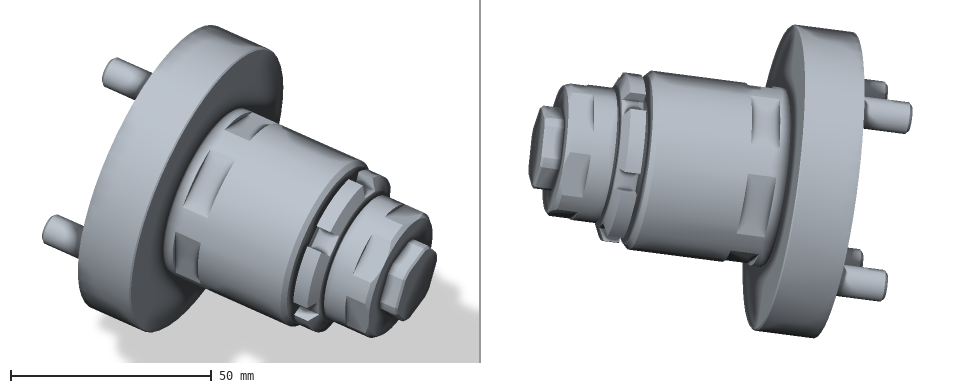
import cadquery as cq
import math

flange_back = 13.3
flange_front = 28.4
body_flats_start = 31.4
body_flats_end = 38.6
body_end = 63.6
groove_start = 63.9
nut_start = 65.3
nut_end = 70.9
cap_start = 71.8
cap_flats_start = 77.7
cap_end = 84.0
total_length = 88.8

flange_diameter = 77.0
flange_chamfer = 0.35
pin_diameter = 8.0
pin_tip_diameter = 6.4
pin_circle_radius = 30.0
pin_count = 4

body_diameter = 45.0
body_across_flats = 42.0
body_base_chamfer = 0.4
body_end_chamfer = 1.15
thread_diameter = 30.5
neck_diameter = 30.0
groove_flank_length = 0.3

nut_diameter = 42.4
nut_face_diameter = 35.7
nut_chamfer_length = 1.6
nut_slot_count = 6
nut_slot_width = 5.5
nut_slot_floor_radius = 17.9
nut_slot_turn = 4.2

cap_diameter = 34.0
cap_across_flats = 32.0
cap_chamfer_length = 1.1

insert_diameter = 20.8
insert_across_flats = 19.2
insert_chamfer = 0.5


def cylinder(start, end, diameter):
    """Solid cylinder on the X axis between two axial stations."""
    return cq.Workplane("YZ", origin=(start, 0, 0)).circle(diameter / 2).extrude(end - start)


def hexagon(start, end, across_flats, turn=0):
    """Hexagonal prism on the X axis, with flats facing +Y and -Y before it is turned."""
    across_corners = across_flats / math.cos(math.radians(30))
    prism = cq.Workplane("YZ", origin=(start, 0, 0)).polygon(6, across_corners).extrude(end - start)
    return prism.rotate((0, 0, 0), (1, 0, 0), 30 + turn)


def cut_flats(part, start, end, diameter, across_flats):
    """Mill six flats into a round part between two axial stations."""
    waste = cylinder(start, end, diameter).cut(hexagon(start, end, across_flats))
    return part.cut(waste)


def make_flange():
    disc = cylinder(flange_back, flange_front, flange_diameter)
    return disc.faces(">X").chamfer(flange_chamfer)


def make_pins():
    pins = (
        cq.Workplane("YZ")
        .polarArray(pin_circle_radius, 0, 360, pin_count)
        .circle(pin_diameter / 2)
        .extrude(flange_back)
    )
    return pins.faces("<X").chamfer((pin_diameter - pin_tip_diameter) / 2)


def make_body():
    body = cylinder(flange_front, body_end, body_diameter)
    body = body.faces("<X").chamfer(body_base_chamfer)
    body = body.faces(">X").chamfer(body_end_chamfer)
    return cut_flats(body, body_flats_start, body_flats_end, body_diameter, body_across_flats)


def make_neck():
    """Threaded neck with a shallow tapered-flank groove between the body and the lock nut."""
    thread_radius = thread_diameter / 2
    neck_radius = neck_diameter / 2
    half_profile = [
        (body_end, 0),
        (body_end, thread_radius),
        (groove_start, thread_radius),
        (groove_start + groove_flank_length, neck_radius),
        (nut_start - groove_flank_length, neck_radius),
        (nut_start, thread_radius),
        (nut_end, thread_radius),
        (nut_end, neck_radius),
        (cap_start, neck_radius),
        (cap_start, 0),
    ]
    return cq.Workplane("XY").polyline(half_profile).close().revolve(360, (0, 0, 0), (1, 0, 0))


def make_lock_nut():
    nut = cylinder(nut_start, nut_end, nut_diameter)
    nut = nut.faces(">X").chamfer(nut_chamfer_length, (nut_diameter - nut_face_diameter) / 2)
    slot = (
        cq.Workplane("XY", origin=(nut_start, nut_slot_floor_radius, 0))
        .box(nut_end - nut_start, nut_diameter, nut_slot_width, centered=(False, False, True))
    )
    for index in range(nut_slot_count):
        angle = nut_slot_turn + index * 360 / nut_slot_count
        nut = nut.cut(slot.rotate((0, 0, 0), (1, 0, 0), angle))
    return nut


def make_cap():
    cap = cylinder(cap_start, cap_end, cap_diameter)
    cap = cap.faces(">X").chamfer(cap_chamfer_length, (cap_diameter - cap_across_flats) / 2)
    return cut_flats(cap, cap_flats_start, cap_end, cap_diameter, cap_across_flats)


def make_insert():
    insert = cylinder(cap_end, total_length, insert_diameter)
    insert = insert.intersect(hexagon(cap_end, total_length, insert_across_flats, turn=30))
    return insert.faces(">X").chamfer(insert_chamfer)


result = make_flange()
for section in (make_pins(), make_body(), make_neck(), make_lock_nut(), make_cap(), make_insert()):
    result = result.union(section)